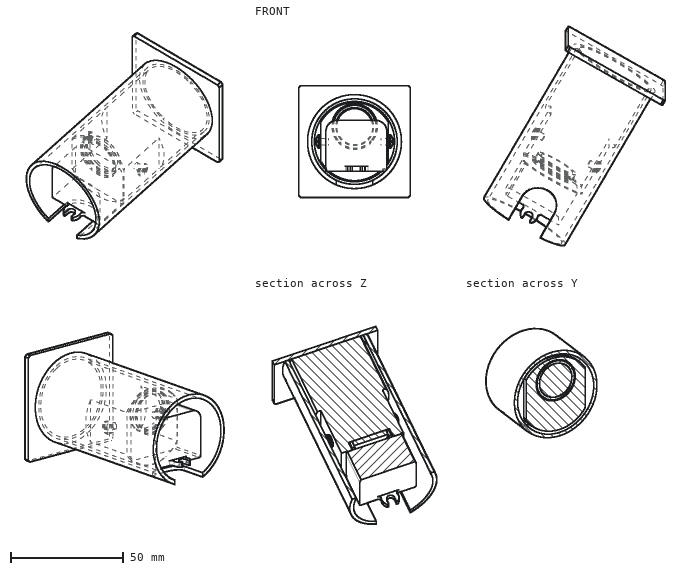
import cadquery as cq
import math


PLATE_SIDE = 50.0
PLATE_THICKNESS = 2.5
PLATE_CHAMFER = 1.0
TOTAL_LENGTH = 82.6
TUBE_LENGTH = TOTAL_LENGTH - PLATE_THICKNESS
TUBE_OUTER_RADIUS = 21.0
TUBE_INNER_RADIUS = 19.1
TUBE_SLOT_WIDTH = 16.35
TUBE_SLOT_LENGTH = 20.5

BLOCK_CENTER_X = 0.8
BLOCK_WIDTH = 27.2
BLOCK_BOTTOM = -13.3
BLOCK_TOP = 9.5
BLOCK_CORNER_RADIUS = 4.95
BLOCK_FRONT = 8.3
BLOCK_LENGTH = 16.5
TAB_THICKNESS = 2.2
TAB_LENGTH = 5.45
TAB_ROUND_RADIUS = 4.0
TAB_ROUND_CENTER = 2.5
TAB_BASE_FILLET = 1.2
TAB_SLOT_RADIUS = 1.8
TAB_SLOT_CENTER = 3.1

BARREL_RADIUS = 17.9
BARREL_CHAMFER = 0.5
BARREL_FRONT = BLOCK_FRONT + BLOCK_LENGTH
BARREL_LENGTH = TUBE_LENGTH - BARREL_FRONT
FLAT_OFFSET = 14.95
FLAT_LENGTH = 24.8

RECESS_HEIGHT = 6.7
RECESS_RADIUS = 9.75
RECESS_DEPTH = 4.1
RING_OUTER_RADIUS = 9.5
RING_INNER_RADIUS = 8.0
RING_SETBACK = 0.8
LENS_SETBACK = 1.65
MOUTH_CHAMFER = 0.4

SCREW_Y = BARREL_FRONT + FLAT_LENGTH / 2
SHANK_RADIUS = 1.5
SHANK_LENGTH = 3.3
NECK_RADIUS = 2.7
NECK_HEIGHT = 0.5
HEAD_RADIUS = 3.0
RIM_HEIGHT = 0.7
DOME_HEIGHT = 1.15
SCREW_SLOT_WIDTH = 0.8
SCREW_SLOT_DEPTH = 0.6


def rod(radius, front, length, height=0):
    """Cylinder along Y, from its front position backwards."""
    return cq.Workplane("XZ", origin=(0, front, height)).circle(radius).extrude(-length)


def chamfered_hole(radius, front, length):
    """Cutter on the recess axis for a round hole with a chamfered mouth."""
    mouth = cq.Solid.makeCone(
        radius + MOUTH_CHAMFER,
        radius,
        MOUTH_CHAMFER,
        pnt=cq.Vector(0, front, RECESS_HEIGHT),
        dir=cq.Vector(0, 1, 0),
    )
    return rod(radius, front, length, RECESS_HEIGHT).union(cq.Workplane(mouth))


def on_side(shape, side):
    """Turn a shape built outwards along +X and set it on the right (1) or left (-1) flat."""
    turn = 0 if side > 0 else 180
    return shape.rotate((0, 0, 0), (0, 0, 1), turn).translate((side * FLAT_OFFSET, SCREW_Y, 0))


def make_plate():
    plate = cq.Workplane("XZ", origin=(0, TUBE_LENGTH, 0)).rect(PLATE_SIDE, PLATE_SIDE)
    return plate.extrude(-PLATE_THICKNESS).edges("|Y").chamfer(PLATE_CHAMFER)


def make_tube():
    tube = rod(TUBE_OUTER_RADIUS, 0, TUBE_LENGTH).cut(rod(TUBE_INNER_RADIUS, 0, TUBE_LENGTH))
    slot = cq.Workplane("XY").slot2D(2 * TUBE_SLOT_LENGTH, TUBE_SLOT_WIDTH, 90)
    return tube.cut(slot.extrude(-TUBE_OUTER_RADIUS))


def make_tab():
    """Round fork with a flat tip and a round-ended slot; the block face is at Y = 0."""
    center_distance = TAB_ROUND_RADIUS + TAB_BASE_FILLET
    fillet_x = math.sqrt(center_distance**2 - (TAB_ROUND_CENTER - TAB_BASE_FILLET) ** 2)
    share = TAB_ROUND_RADIUS / center_distance
    touch_x = share * fillet_x
    touch_y = -TAB_ROUND_CENTER + share * (TAB_ROUND_CENTER - TAB_BASE_FILLET)
    tip_x = math.sqrt(TAB_ROUND_RADIUS**2 - (TAB_LENGTH - TAB_ROUND_CENTER) ** 2)
    half = (
        cq.Workplane("XY")
        .lineTo(fillet_x, 0)
        .radiusArc((touch_x, touch_y), -TAB_BASE_FILLET)
        .radiusArc((tip_x, -TAB_LENGTH), TAB_ROUND_RADIUS)
        .lineTo(TAB_SLOT_RADIUS, -TAB_LENGTH)
        .lineTo(TAB_SLOT_RADIUS, -TAB_SLOT_CENTER)
        .radiusArc((0, TAB_SLOT_RADIUS - TAB_SLOT_CENTER), -TAB_SLOT_RADIUS)
        .close()
        .extrude(TAB_THICKNESS)
    )
    return half.union(half.mirror("YZ"))


def make_block():
    block = (
        cq.Workplane("XY")
        .box(BLOCK_WIDTH, BLOCK_LENGTH, BLOCK_TOP - BLOCK_BOTTOM, centered=(True, False, False))
        .edges("|Y and >Z")
        .fillet(BLOCK_CORNER_RADIUS)
        .union(make_tab())
        .translate((BLOCK_CENTER_X, BLOCK_FRONT, BLOCK_BOTTOM))
    )
    return block.intersect(rod(TUBE_INNER_RADIUS, 0, TUBE_LENGTH))


def make_barrel():
    barrel = rod(BARREL_RADIUS, BARREL_FRONT, BARREL_LENGTH).faces("<Y").chamfer(BARREL_CHAMFER)
    barrel = barrel.cut(chamfered_hole(RECESS_RADIUS, BARREL_FRONT, RECESS_DEPTH))
    flat_depth = BARREL_RADIUS - FLAT_OFFSET
    beyond_flat = cq.Workplane("XY").box(
        flat_depth, FLAT_LENGTH, 2 * BARREL_RADIUS, centered=(False, True, True)
    )
    screw_hole = cq.Workplane("YZ").circle(SHANK_RADIUS).extrude(-SHANK_LENGTH)
    for side in (-1, 1):
        barrel = barrel.cut(on_side(beyond_flat, side)).cut(on_side(screw_hole, side))
    return barrel


def make_ring():
    front = BARREL_FRONT + RING_SETBACK
    length = RECESS_DEPTH - RING_SETBACK
    ring = rod(RING_OUTER_RADIUS, front, length, RECESS_HEIGHT)
    return ring.cut(chamfered_hole(RING_INNER_RADIUS, front, length))


def make_lens():
    front = BARREL_FRONT + LENS_SETBACK
    return rod(RING_INNER_RADIUS, front, RECESS_DEPTH - LENS_SETBACK, RECESS_HEIGHT)


def make_screw(side):
    rim = NECK_HEIGHT + RIM_HEIGHT
    top = rim + DOME_HEIGHT
    dome_radius = (HEAD_RADIUS**2 + DOME_HEIGHT**2) / (2 * DOME_HEIGHT)
    screw = (
        cq.Workplane("XY")
        .moveTo(-SHANK_LENGTH, 0)
        .lineTo(-SHANK_LENGTH, SHANK_RADIUS)
        .lineTo(0, SHANK_RADIUS)
        .lineTo(0, NECK_RADIUS)
        .lineTo(NECK_HEIGHT, NECK_RADIUS)
        .lineTo(NECK_HEIGHT, HEAD_RADIUS)
        .lineTo(rim, HEAD_RADIUS)
        .radiusArc((top, 0), dome_radius)
        .close()
        .revolve(360, (0, 0, 0), (1, 0, 0))
    )
    slot = cq.Workplane("YZ", origin=(top, 0, 0)).rect(2 * HEAD_RADIUS, SCREW_SLOT_WIDTH)
    return on_side(screw.cut(slot.extrude(-SCREW_SLOT_DEPTH)), side)


plate = make_plate()
tube = make_tube()
block = make_block()
barrel = make_barrel()
ring = make_ring()
lens = make_lens()
screws = [make_screw(side).val() for side in (-1, 1)]

result = cq.Compound.makeCompound(
    [plate.val(), tube.val(), block.val(), barrel.val(), ring.val(), lens.val(), *screws]
)